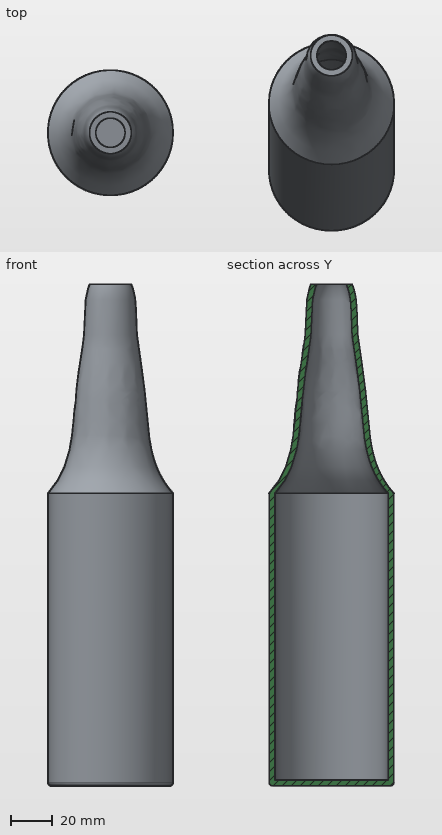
import cadquery as cq

body_radius = 30.0
body_height = 140.0
base_fillet = 2.0

total_height = 240.0
rim_radius = 10.0
neck_stations = [
    (19.85, 160.0),
    (17.3, 180.0),
    (15.0, 200.0),
    (12.45, 220.0),
    (11.55, 235.0),
]

wall = 3.0


def bottle_form(inset, floor_height):
    """Solid of revolution about Z: the bottle outline moved radially inward by inset."""
    neck_curve = [(radius - inset, height) for radius, height in neck_stations]
    neck_curve.append((rim_radius - inset, total_height))
    profile = (
        cq.Workplane("XZ")
        .moveTo(0, floor_height)
        .lineTo(body_radius - inset, floor_height)
        .lineTo(body_radius - inset, body_height)
        .spline(neck_curve, includeCurrent=True)
        .lineTo(0, total_height)
        .close()
    )
    return profile.revolve(360, (0, 0, 0), (0, 1, 0))


def outer_body():
    """Full bottle with its bottom edge rounded."""
    return bottle_form(0, 0).faces("<Z").edges().fillet(base_fillet)


def cavity():
    """Inner space, one wall thickness inside the bottle and open at the rim."""
    return bottle_form(wall, wall)


result = outer_body().cut(cavity())